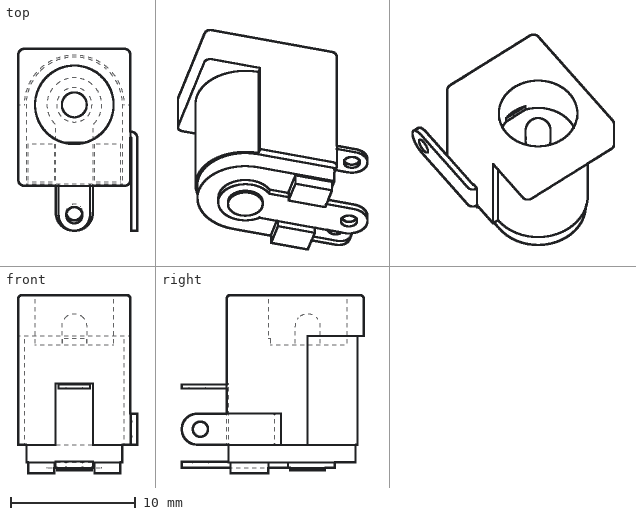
import cadquery as cq


HOUSING_WIDTH = 9.0
HOUSING_HEIGHT = 12.0
HOUSING_BACK_Y = HOUSING_WIDTH / 2
HOUSING_FRONT_Y = -6.5
CORNER_RADIUS = 0.5
TOP_EDGE_RADIUS = 0.3
FLANGE_HEIGHT = 3.3
BARREL_RADIUS = 4.0

PLINTH_HEIGHT = 1.4
PLINTH_RADIUS = 3.85
PLINTH_FRONT_Y = -6.35
FOOT_INNER_X = 1.6
FOOT_OUTER_X = 3.7
FOOT_BACK_Y = -3.15
FOOT_FRONT_Y = -6.2
FOOT_HEIGHT = 0.9

SLOT_WIDTH = 3.0
SLOT_HEIGHT = 4.9

BORE_DIAMETER = 6.3
BORE_DEPTH = 4.0
PIN_DIAMETER = 2.0
PIN_TIP_DEPTH = 1.5
CONTACT_FACE_Y = -3.0
CONTACT_HEIGHT = 0.5

LUG_TIP_Y = -10.1
SMALL_LUG_WIDTH = 2.5
FRONT_LUG_THICKNESS = 0.35
FRONT_LUG_DROP = 0.05
FRONT_LUG_HOLE = 1.3
SIDE_LUG_THICKNESS = 0.5
SIDE_LUG_GAP = 0.05
SIDE_LUG_HOLE = 1.2
SIDE_LUG_HOLE_Y = -8.6
SIDE_LUG_BACK_Y = -2.15
BOTTOM_LUG_WIDTH = 3.0
BOTTOM_LUG_THICKNESS = 0.5
BOTTOM_LUG_EMBED = 0.05
BOTTOM_LUG_HOLE = 1.3
BOTTOM_LUG_DISC_RADIUS = 2.18
RIVET_DIAMETER = 2.8
RIVET_HEIGHT = 0.2

PLINTH_BOTTOM_Z = -PLINTH_HEIGHT
HALF_WIDTH = HOUSING_WIDTH / 2
BORE_FLOOR_Z = HOUSING_HEIGHT - BORE_DEPTH


def block(x_min, x_max, y_min, y_max, z_min, z_max):
    """Box given by its limits along each axis."""
    size = (x_max - x_min, y_max - y_min, z_max - z_min)
    return cq.Workplane("XY").box(*size, centered=False).translate((x_min, y_min, z_min))


def round_backed_prism(radius, front_y, z_min, height):
    """Prism with a flat front and a half-round back centred on the socket axis."""
    return (
        cq.Workplane("XY", origin=(0, 0, z_min))
        .moveTo(-radius, front_y)
        .lineTo(radius, front_y)
        .lineTo(radius, 0)
        .threePointArc((0, radius), (-radius, 0))
        .close()
        .extrude(height)
    )


def lug(width, thickness, root_y, hole_diameter, hole_y):
    """Flat lug running toward -Y with a round tip; its underside is at Z = 0."""
    radius = width / 2
    arc_y = LUG_TIP_Y + radius
    plate = (
        cq.Workplane("XY")
        .moveTo(-radius, root_y)
        .lineTo(-radius, arc_y)
        .threePointArc((0, LUG_TIP_Y), (radius, arc_y))
        .lineTo(radius, root_y)
        .close()
        .extrude(thickness)
    )
    hole = cq.Workplane("XY").center(0, hole_y).circle(hole_diameter / 2).extrude(thickness)
    return plate.cut(hole)


def make_housing():
    """Rounded housing with a full-size flange, a round-backed barrel and the front slot."""
    shell = block(-HALF_WIDTH, HALF_WIDTH, HOUSING_FRONT_Y, HOUSING_BACK_Y, 0, HOUSING_HEIGHT)
    shell = shell.edges("|Z").fillet(CORNER_RADIUS)
    shell = shell.faces(">Z").edges().fillet(TOP_EDGE_RADIUS)
    flange_z = HOUSING_HEIGHT - FLANGE_HEIGHT
    back_half = block(-HALF_WIDTH, HALF_WIDTH, 0, HOUSING_BACK_Y, 0, flange_z)
    barrel = cq.Workplane("XY").circle(BARREL_RADIUS).extrude(flange_z)
    shell = shell.cut(back_half.cut(barrel))
    slot = block(-SLOT_WIDTH / 2, SLOT_WIDTH / 2, HOUSING_FRONT_Y, PLINTH_FRONT_Y, 0, SLOT_HEIGHT)
    return shell.cut(slot)


def make_base():
    """Plinth under the housing with two feet mirrored about X = 0."""
    base = round_backed_prism(PLINTH_RADIUS, PLINTH_FRONT_Y, PLINTH_BOTTOM_Z, PLINTH_HEIGHT)
    foot = block(
        FOOT_INNER_X, FOOT_OUTER_X, FOOT_FRONT_Y, FOOT_BACK_Y,
        PLINTH_BOTTOM_Z - FOOT_HEIGHT, PLINTH_BOTTOM_Z,
    )
    return base.union(foot).union(foot.mirror("YZ"))


def make_bore():
    """Blind bore that leaves a low flat-faced contact standing on its floor at the front."""
    radius = BORE_DIAMETER / 2
    bore = cq.Workplane("XY", origin=(0, 0, BORE_FLOOR_Z)).circle(radius).extrude(BORE_DEPTH)
    contact = block(
        -radius, radius, -radius, CONTACT_FACE_Y,
        BORE_FLOOR_Z, BORE_FLOOR_Z + CONTACT_HEIGHT,
    )
    return bore.cut(contact)


def make_pin():
    """Centre pin with a hemispherical tip."""
    radius = PIN_DIAMETER / 2
    length = BORE_DEPTH - PIN_TIP_DEPTH
    shank_top_z = BORE_FLOOR_Z + length - radius
    shank = cq.Workplane("XY", origin=(0, 0, BORE_FLOOR_Z)).circle(radius).extrude(length - radius)
    tip = cq.Workplane("XY", origin=(0, 0, shank_top_z)).sphere(radius)
    return shank.union(tip)


def make_front_lug():
    """Lug standing out of the top of the front slot."""
    arc_y = LUG_TIP_Y + SMALL_LUG_WIDTH / 2
    plate = lug(SMALL_LUG_WIDTH, FRONT_LUG_THICKNESS, PLINTH_FRONT_Y, FRONT_LUG_HOLE, arc_y)
    return plate.translate((0, 0, SLOT_HEIGHT - FRONT_LUG_DROP - FRONT_LUG_THICKNESS))


def make_side_lug():
    """Upright lug beside the housing, bent at its back end into the housing wall."""
    inner_x = HALF_WIDTH + SIDE_LUG_GAP
    bend_y = SIDE_LUG_BACK_Y - SIDE_LUG_THICKNESS
    plate = lug(SMALL_LUG_WIDTH, SIDE_LUG_THICKNESS, bend_y, SIDE_LUG_HOLE, SIDE_LUG_HOLE_Y)
    plate = plate.rotate((0, 0, 0), (0, 1, 0), 90)
    plate = plate.translate((inner_x, 0, SMALL_LUG_WIDTH / 2))
    bend = (
        cq.Workplane("XY")
        .moveTo(HALF_WIDTH, bend_y)
        .lineTo(inner_x + SIDE_LUG_THICKNESS, bend_y)
        .radiusArc((inner_x, SIDE_LUG_BACK_Y), -SIDE_LUG_THICKNESS)
        .lineTo(HALF_WIDTH, SIDE_LUG_BACK_Y)
        .close()
        .extrude(SMALL_LUG_WIDTH)
    )
    return plate.union(bend)


def make_bottom_lug():
    """Lug under the plinth with a round head and a rivet on the socket axis."""
    arc_y = LUG_TIP_Y + BOTTOM_LUG_WIDTH / 2
    plate = lug(BOTTOM_LUG_WIDTH, BOTTOM_LUG_THICKNESS, 0, BOTTOM_LUG_HOLE, arc_y)
    disc = cq.Workplane("XY").circle(BOTTOM_LUG_DISC_RADIUS).extrude(BOTTOM_LUG_THICKNESS)
    rivet = cq.Workplane("XY").circle(RIVET_DIAMETER / 2).extrude(-RIVET_HEIGHT)
    head = plate.union(disc).union(rivet)
    return head.translate((0, 0, PLINTH_BOTTOM_Z + BOTTOM_LUG_EMBED - BOTTOM_LUG_THICKNESS))


result = (
    make_housing()
    .union(make_base())
    .cut(make_bore())
    .union(make_pin())
    .union(make_front_lug())
    .union(make_side_lug())
    .union(make_bottom_lug())
)